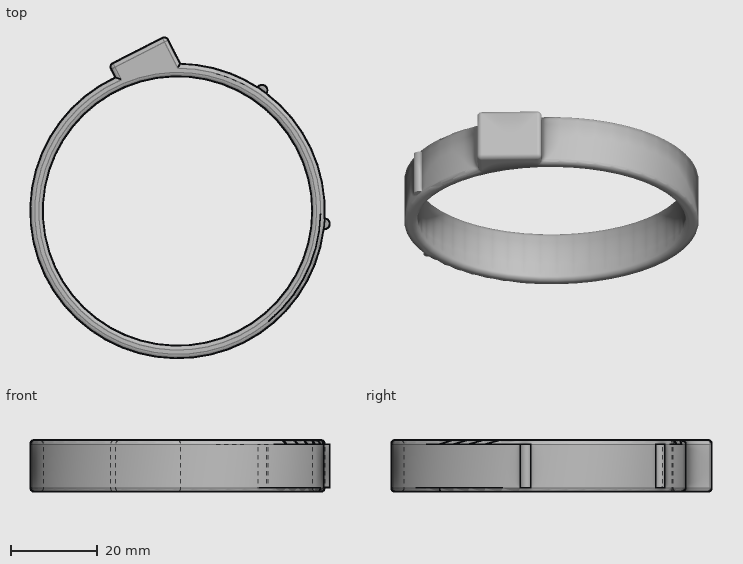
import cadquery as cq
import math

band_height = 12.0
bore_radius = 31.0
wall_thickness = 2.95
outer_radius = bore_radius + wall_thickness
edge_radius = 1.0

block_turn = 27.0
block_face_distance = 37.15
block_near_side = 1.2
block_length = 14.8
block_inner_distance = 22.2

rib_radius = 1.25
rib_height = band_height - 2 * edge_radius
rib_angles = (-5.0, 55.0)


def make_disc():
    """Solid disc with rounded outer rims, before the bore is cut."""
    return cq.Workplane("XY").circle(outer_radius).extrude(band_height).edges().fillet(edge_radius)


def make_block():
    """Block with rounded edges everywhere except at its hidden inner end."""
    depth = block_face_distance - block_inner_distance
    block = (
        cq.Workplane("XY")
        .box(block_length, depth, band_height, centered=False)
        .translate((block_near_side, block_inner_distance, 0))
    )
    block = block.edges("|Z and >Y").fillet(edge_radius)
    block = block.faces(">Z or <Z").edges("not <Y").fillet(edge_radius)
    return block.rotate((0, 0, 0), (0, 0, 1), block_turn)


def make_rib(angle):
    """Round rib centred on the outer wall, clear of both rounded rims."""
    x = outer_radius * math.cos(math.radians(angle))
    y = outer_radius * math.sin(math.radians(angle))
    return (
        cq.Workplane("XY", origin=(x, y, edge_radius))
        .circle(rib_radius)
        .extrude(rib_height)
    )


def make_bore():
    """Bore that flares out at both ends, which rounds the inner rims of the band."""
    rim_radius = bore_radius + edge_radius
    arc_inset = edge_radius * (1 - math.sqrt(0.5))
    return (
        cq.Workplane("XZ")
        .lineTo(rim_radius, 0)
        .threePointArc((bore_radius + arc_inset, arc_inset), (bore_radius, edge_radius))
        .lineTo(bore_radius, band_height - edge_radius)
        .threePointArc(
            (bore_radius + arc_inset, band_height - arc_inset), (rim_radius, band_height)
        )
        .lineTo(0, band_height)
        .close()
        .revolve(360, (0, 0, 0), (0, 1, 0))
    )


band = make_disc().union(make_block()).cut(make_bore())
for rib_angle in rib_angles:
    band = band.union(make_rib(rib_angle))

result = cq.Compound.makeCompound([band.val()])